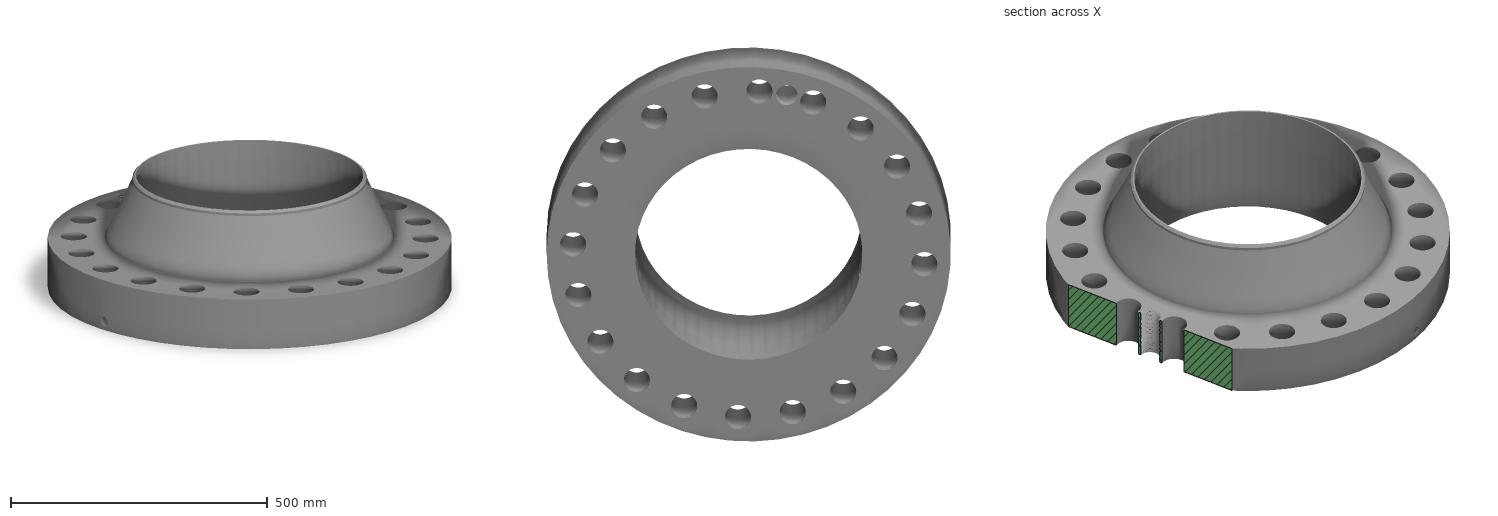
import math
import cadquery as cq

INCH = 25.4

flange_diameter = 31 * INCH
flange_thickness = 4 * INCH
overall_height = 9 * INCH
bore_diameter = 443.0
hub_base_diameter = 564.0
hub_base_fillet = 3.0

hub_top_diameter = 18 * INCH
root_face = 3.0
bevel_angle = 45.0
land_bottom_drop = 9.5

bolt_circle_diameter = 27 * INCH
bolt_hole_diameter = 2 * INCH
bolt_hole_count = 20

jack_minor_diameter = 42.0
jack_major_diameter = 46.0
jack_pitch = INCH / 8

tap_height = 18.0
tap_minor_diameter = 18.0
tap_major_diameter = 21.3
tap_pitch = INCH / 14
tap_thread_turns = 11
tap_hole_diameter = 0.5 * INCH


def revolve_about_z(profile):
    """Solid of revolution about Z from a closed outline of (radius, height) points."""
    return cq.Workplane("XZ").polyline(profile).close().revolve(360, (0, 0, 0), (0, 1, 0))


def make_body():
    bore_radius = bore_diameter / 2
    flange_radius = flange_diameter / 2
    base_radius = hub_base_diameter / 2
    top_radius = hub_top_diameter / 2
    root_radius = bore_radius + root_face
    bevel_height = (top_radius - root_radius) / math.tan(math.radians(bevel_angle))
    profile = [
        (bore_radius, 0),
        (flange_radius, 0),
        (flange_radius, flange_thickness),
        (base_radius, flange_thickness),
        (top_radius, overall_height - land_bottom_drop),
        (top_radius, overall_height - bevel_height),
        (root_radius, overall_height),
        (bore_radius, overall_height),
    ]
    body = revolve_about_z(profile)
    second_largest = cq.selectors.RadiusNthSelector(-2)
    return body.edges("%CIRCLE").edges(second_largest).fillet(hub_base_fillet)


def make_bolt_holes():
    first_angle = 180 / bolt_hole_count
    return (
        cq.Workplane("XY")
        .polarArray(bolt_circle_diameter / 2, first_angle, 360, bolt_hole_count)
        .circle(bolt_hole_diameter / 2)
        .extrude(flange_thickness)
    )


def make_thread_cutter(minor_diameter, major_diameter, pitch, turns):
    """Cutter along +Z from the origin, with one V-shaped ring per thread turn."""
    minor_radius = minor_diameter / 2
    major_radius = major_diameter / 2
    profile = [(0, 0), (minor_radius, 0)]
    for turn in range(turns):
        profile.append((major_radius, (turn + 0.5) * pitch))
        profile.append((minor_radius, (turn + 1) * pitch))
    profile.append((0, turns * pitch))
    return revolve_about_z(profile)


def make_jack_screw_hole():
    turns = round(flange_thickness / jack_pitch)
    cutter = make_thread_cutter(jack_minor_diameter, jack_major_diameter, jack_pitch, turns)
    return cutter.translate((-bolt_circle_diameter / 2, 0, 0))


def make_pressure_tap():
    """Cutter for the tap at -Y, pointing inwards from the rim to the bore."""
    thread = make_thread_cutter(tap_minor_diameter, tap_major_diameter, tap_pitch, tap_thread_turns)
    hole = cq.Workplane("XY").circle(tap_hole_diameter / 2).extrude(flange_diameter / 2)
    inward_cutter = thread.union(hole).rotate((0, 0, 0), (1, 0, 0), -90)
    return inward_cutter.translate((0, -flange_diameter / 2, tap_height))


result = make_body().cut(make_bolt_holes()).cut(make_jack_screw_hole())
for tap_angle in (0, 180):
    result = result.cut(make_pressure_tap().rotate((0, 0, 0), (0, 0, 1), tap_angle))